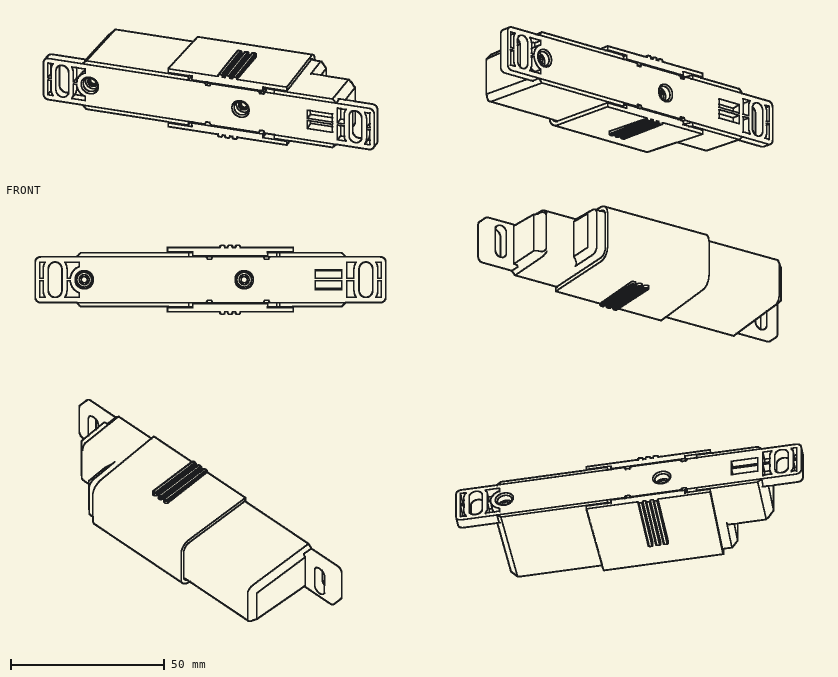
import cadquery as cq
import math

DRAFT = 1.5

PLATE_LENGTH = 114.5
PLATE_WIDTH = 15.0
PLATE_THICKNESS = 3.7
PLATE_CORNER_RADIUS = 1.8
PLATE_EDGE_FILLET = 0.3

SLOT_X = 50.7
SLOT_WIDTH = 4.4
SLOT_LENGTH = 11.5
SLOT_WALL = 1.7

POCKET_DEPTH = 3.1
POCKET_OUTER_X = 55.8
POCKET_INNER_LEFT_X = -42.8
POCKET_INNER_RIGHT_X = 44.5
POCKET_HALF_WIDTH = 5.7
RIB_THICKNESS = 0.8

WINDOW_START_X = 34.1
WINDOW_END_X = 42.8
WINDOW_HALF_WIDTH = 3.3
WINDOW_SLOPE = 0.5

SCREW_X = (-41.2, 11.0)
SCREW_BOSS_RADIUS = 4.6
COUNTERBORE_RADIUS = 2.4
COUNTERBORE_DEPTH = 2.7
COUNTERBORE_CHAMFER = 0.6
CLEARANCE_RADIUS = 1.6
PILOT_RADIUS = 1.0
PILOT_DEPTH = 4.6

NOTCH_X = (-0.3, 18.3)
NOTCH_WIDTH = 2.1
NOTCH_DEPTH = 0.8
NOTCH_HEIGHT = 1.7

HOUSING_HALF_WIDTH = 8.8
HOUSING_LEFT_X = -44.4
HOUSING_STEP_X = 32.2
HOUSING_RIGHT_X = 45.8
HOUSING_HEIGHT = 28.3
STEP_HEIGHT = 18.1
HOUSING_FILLET = 2.4
END_CHAMFER = 2.1
STEP_END_CHAMFER = 3.0
STEP_SIDE_CHAMFER = 1.8

SLEEVE_LEFT_X = -14.1
SLEEVE_RIGHT_X = 27.0
SLEEVE_HEIGHT = 29.9
SLEEVE_HALF_WIDTH = 10.5
SLEEVE_FILLET = 3.9
SLEEVE_GAP = 0.3

FOOT_START_X = -5.8
FOOT_END_X = 18.7
FOOT_HEIGHT = 2.3
FOOT_GAP = 0.3
RECESS_START_X = -7.1
RECESS_END_X = 21.6
RECESS_SLOPE = 1.0

GRIP_COUNT = 3
GRIP_PITCH = 2.5
GRIP_CENTRE_X = 6.4
GRIP_WIDTH = 1.6
GRIP_END_FILLET = 0.6
GRIP_EDGE_CHAMFER = 0.3
GRIP_TOP_Y = 19.4
GRIP_SPAN = 22.5

PLATE_HALF_WIDTH = PLATE_WIDTH / 2
SIDES = (-1, 1)


def back_plane(y=0.0):
    """Work plane facing +Y at height y, with local x along X."""
    return cq.Workplane(cq.Plane(origin=(0, y, 0), xDir=(1, 0, 0), normal=(0, 1, 0)))


def block(x_range, y_range, z_range):
    """Axis-aligned box spanning three ranges, each given in either order."""
    ranges = (x_range, y_range, z_range)
    sizes = [max(pair) - min(pair) for pair in ranges]
    corner = tuple(min(pair) for pair in ranges)
    return cq.Workplane("XY").box(*sizes, centered=False).translate(corner)


def disc(x, radius, y, height):
    """Cylinder along Y, starting at y."""
    return back_plane(y).center(x, 0).circle(radius).extrude(height)


def drafted_block(x_start, x_end, half_width, height, top_fillet):
    """Block rising along +Y with drafted walls and rounded long top edges."""
    middle = (x_start + x_end) / 2
    body = back_plane().center(middle, 0).rect(x_end - x_start, 2 * half_width)
    body = body.extrude(height, taper=DRAFT)
    return body.faces(">Y").edges("|X").fillet(top_fillet)


def plate_blank():
    blank = back_plane().rect(PLATE_LENGTH, PLATE_WIDTH).extrude(PLATE_THICKNESS)
    blank = blank.edges("|Y").fillet(PLATE_CORNER_RADIUS)
    return blank.faces(">Y").edges().fillet(PLATE_EDGE_FILLET)


def slot(x, width, length, depth):
    return back_plane().center(x, 0).slot2D(length, width, 90).extrude(depth)


def ear_pockets(slot_x, x_start, x_end):
    """Pockets beside one slot, kept clear of the slot wall, rib and screw boss."""
    width = 2 * POCKET_HALF_WIDTH
    pockets = block((x_start, x_end), (0, POCKET_DEPTH), (-width / 2, width / 2))
    rib_range = (-RIB_THICKNESS / 2, RIB_THICKNESS / 2)
    pockets = pockets.cut(block((x_start, x_end), (0, POCKET_DEPTH), rib_range))
    wall_width = SLOT_WIDTH + 2 * SLOT_WALL
    wall_length = SLOT_LENGTH + 2 * SLOT_WALL
    pockets = pockets.cut(slot(slot_x, wall_width, wall_length, POCKET_DEPTH))
    return pockets.cut(disc(SCREW_X[0], SCREW_BOSS_RADIUS, 0, POCKET_DEPTH))


def window(side):
    """Rectangular pocket on one side of the middle rib, its outer wall sloping inwards."""
    profile = [
        (0, side * RIB_THICKNESS / 2),
        (0, side * WINDOW_HALF_WIDTH),
        (POCKET_DEPTH, side * (WINDOW_HALF_WIDTH - WINDOW_SLOPE)),
        (POCKET_DEPTH, side * RIB_THICKNESS / 2),
    ]
    pocket = cq.Workplane("YZ").polyline(profile).close().extrude(WINDOW_END_X - WINDOW_START_X)
    return pocket.translate((WINDOW_START_X, 0, 0))


def screw_hole(x):
    """Clearance hole with a chamfered counterbore."""
    mouth = COUNTERBORE_RADIUS + COUNTERBORE_CHAMFER
    profile = [
        (0, 0),
        (mouth, 0),
        (COUNTERBORE_RADIUS, COUNTERBORE_CHAMFER),
        (COUNTERBORE_RADIUS, COUNTERBORE_DEPTH),
        (CLEARANCE_RADIUS, COUNTERBORE_DEPTH),
        (CLEARANCE_RADIUS, PLATE_THICKNESS),
        (0, PLATE_THICKNESS),
    ]
    hole = cq.Workplane("XY").polyline(profile).close().revolve(360, (0, 0), (0, 1))
    return hole.translate((x, 0, 0))


def edge_notch(x, side):
    """Trapezoidal notch in one long edge of the plate."""
    half = NOTCH_WIDTH / 2
    edge = PLATE_HALF_WIDTH
    floor = edge - NOTCH_DEPTH
    inset = half - NOTCH_DEPTH / 2
    points = [(x - half, edge), (x - inset, floor), (x + inset, floor), (x + half, edge)]
    notch = back_plane().polyline([(px, side * pz) for px, pz in points]).close()
    return notch.extrude(NOTCH_HEIGHT)


def make_base_plate():
    plate = plate_blank()
    ears = (
        (-SLOT_X, -POCKET_OUTER_X, POCKET_INNER_LEFT_X),
        (SLOT_X, POCKET_INNER_RIGHT_X, POCKET_OUTER_X),
    )
    for slot_x, x_start, x_end in ears:
        plate = plate.cut(slot(slot_x, SLOT_WIDTH, SLOT_LENGTH, PLATE_THICKNESS))
        plate = plate.cut(ear_pockets(slot_x, x_start, x_end))
    for x in SCREW_X:
        plate = plate.cut(screw_hole(x))
    for side in SIDES:
        plate = plate.cut(window(side))
        for x in NOTCH_X:
            plate = plate.cut(edge_notch(x, side))
    return plate


def foot_recess(side):
    """Opening in the housing wall that takes one sleeve foot."""
    outer = HOUSING_HALF_WIDTH + SLEEVE_GAP
    height = FOOT_HEIGHT + SLEEVE_GAP
    profile = [
        (RECESS_START_X, 0),
        (RECESS_END_X + RECESS_SLOPE, 0),
        (RECESS_END_X, height),
        (RECESS_START_X, height),
    ]
    wall = cq.Workplane("XY").polyline(profile).close().extrude(outer - PLATE_HALF_WIDTH)
    return wall.translate((0, 0, PLATE_HALF_WIDTH if side > 0 else -outer))


def low_block():
    """Lower block at the +X end, narrowed by side bevels and bevelled at the top of its end.

    It starts inside the tall block, at the middle of the part.
    """
    bevel_x = HOUSING_RIGHT_X - STEP_END_CHAMFER
    half_outline = [
        (0, HOUSING_HALF_WIDTH),
        (bevel_x, HOUSING_HALF_WIDTH),
        (bevel_x + STEP_SIDE_CHAMFER, HOUSING_HALF_WIDTH - STEP_SIDE_CHAMFER),
        (HOUSING_RIGHT_X, HOUSING_HALF_WIDTH - STEP_SIDE_CHAMFER),
    ]
    outline = half_outline + [(x, -z) for x, z in reversed(half_outline)]
    low = back_plane().polyline(outline).close().extrude(STEP_HEIGHT, taper=DRAFT)
    low = low.faces(">Y").edges("|X").fillet(HOUSING_FILLET)
    top_end_x = HOUSING_RIGHT_X - STEP_HEIGHT * math.tan(math.radians(DRAFT))
    leg = 2 * STEP_END_CHAMFER
    bevel_start = (top_end_x - STEP_END_CHAMFER, STEP_HEIGHT)
    wedge = cq.Workplane("XY").moveTo(*bevel_start).line(leg, -leg).line(0, leg).close()
    return low.cut(wedge.extrude(HOUSING_HALF_WIDTH, both=True))


def make_housing():
    tall = drafted_block(
        HOUSING_LEFT_X, HOUSING_STEP_X, HOUSING_HALF_WIDTH, HOUSING_HEIGHT, HOUSING_FILLET
    )
    for end in ("<X", ">X"):
        tall = tall.faces(end).edges("not <Y").chamfer(END_CHAMFER)
    housing = tall.union(low_block()).cut(plate_blank())
    for side in SIDES:
        housing = housing.cut(foot_recess(side))
    for x in SCREW_X:
        housing = housing.cut(disc(x, PILOT_RADIUS, PLATE_THICKNESS, PILOT_DEPTH))
    return housing


def sleeve_cavity():
    """Housing section enlarged by the clearance, longer than the sleeve."""
    return drafted_block(
        -PLATE_LENGTH / 2,
        PLATE_LENGTH / 2,
        HOUSING_HALF_WIDTH + SLEEVE_GAP,
        HOUSING_HEIGHT + SLEEVE_GAP,
        HOUSING_FILLET + SLEEVE_GAP,
    )


def grip_rib(x):
    """Pair of ribs at one place along X, as a bar across the whole sleeve."""
    half = GRIP_WIDTH / 2
    bar = block((x - half, x + half), (0, GRIP_TOP_Y), (-GRIP_SPAN / 2, GRIP_SPAN / 2))
    bar = bar.faces(">Y").edges("|Z").fillet(GRIP_END_FILLET)
    return bar.faces("<Z or >Z").edges("not <Y").chamfer(GRIP_EDGE_CHAMFER)


def make_sleeve():
    sleeve = drafted_block(
        SLEEVE_LEFT_X, SLEEVE_RIGHT_X, SLEEVE_HALF_WIDTH, SLEEVE_HEIGHT, SLEEVE_FILLET
    )
    for i in range(GRIP_COUNT):
        offset = (i - (GRIP_COUNT - 1) / 2) * GRIP_PITCH
        sleeve = sleeve.union(grip_rib(GRIP_CENTRE_X + offset))
    sleeve = sleeve.cut(sleeve_cavity())
    inner = PLATE_HALF_WIDTH + FOOT_GAP
    middle_of_wall = (HOUSING_HALF_WIDTH + SLEEVE_GAP + SLEEVE_HALF_WIDTH) / 2
    for side in SIDES:
        z_range = (side * inner, side * middle_of_wall)
        sleeve = sleeve.union(block((FOOT_START_X, FOOT_END_X), (0, FOOT_HEIGHT), z_range))
    return sleeve


base_plate = make_base_plate()
housing = make_housing()
sleeve = make_sleeve()

bodies = [base_plate, housing, sleeve]
result = cq.Compound.makeCompound([body.solids().val() for body in bodies])